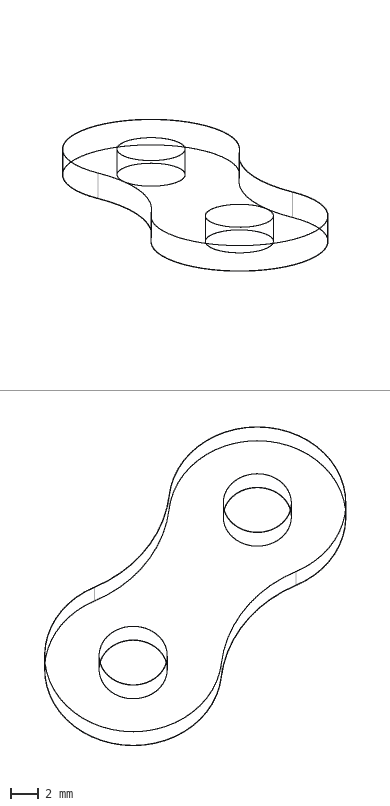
import cadquery as cq
import math

length = 28.88
end_diameter = 13.0
thickness = 2.0
hole_diameter = 5.0
waist_radius = 9.82

end_radius = end_diameter / 2
half_length = length / 2
half_pitch = half_length - end_radius

center_distance = end_radius + waist_radius
waist_center_y = math.sqrt(center_distance**2 - half_pitch**2)
half_waist = waist_center_y - waist_radius

tangent_x = half_pitch * waist_radius / center_distance
tangent_y = waist_center_y * end_radius / center_distance


def make_link_plate():
    """Figure-eight chain link plate with a pin hole in each round end."""
    plate = (
        cq.Workplane("XY")
        .moveTo(-tangent_x, tangent_y)
        .threePointArc((0, half_waist), (tangent_x, tangent_y))
        .threePointArc((half_length, 0), (tangent_x, -tangent_y))
        .threePointArc((0, -half_waist), (-tangent_x, -tangent_y))
        .threePointArc((-half_length, 0), (-tangent_x, tangent_y))
        .close()
        .extrude(thickness)
    )
    pin_holes = (
        cq.Workplane("XY")
        .pushPoints([(-half_pitch, 0), (half_pitch, 0)])
        .circle(hole_diameter / 2)
        .extrude(thickness)
    )
    return plate.cut(pin_holes)


link_plate = make_link_plate()

result = cq.Compound.makeCompound([link_plate.val()])